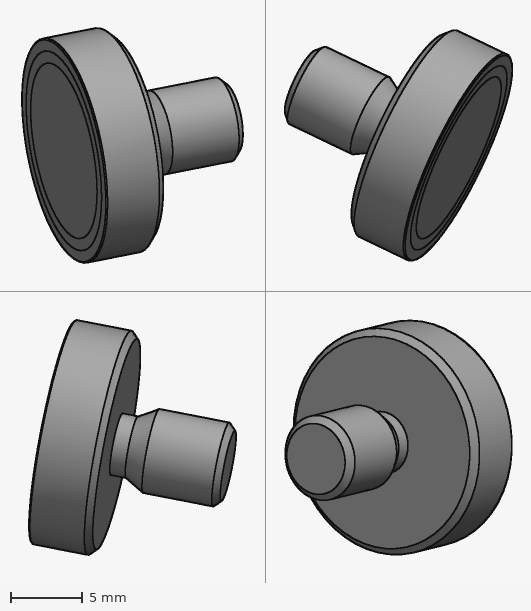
import cadquery as cq
import math


head_diameter = 16.0
head_length = 4.5
front_chamfer = 0.1
rear_chamfer = 0.5

stud_diameter = 6.0
stud_length = 8.0
stud_full_length = 5.5
tip_chamfer = 0.5
neck_diameter = 4.4
taper_angle = 30.0

magnet_diameter = 12.5
recess_diameter = 14.2
recess_depth = 3.2

head_radius = head_diameter / 2
stud_radius = stud_diameter / 2
neck_radius = neck_diameter / 2
tip_y = head_length + stud_length
taper_end_y = tip_y - stud_full_length
taper_length = (stud_radius - neck_radius) / math.tan(math.radians(taper_angle))
taper_start_y = taper_end_y - taper_length


def front_disc(diameter, depth):
    """Disc from the front face to the given depth along +Y."""
    return cq.Workplane("XZ").circle(diameter / 2).extrude(-depth)


def make_housing():
    """Turned head and stud in one piece, with a round recess in the front face."""
    profile = [
        (0, 0),
        (head_radius - front_chamfer, 0),
        (head_radius, front_chamfer),
        (head_radius, head_length - rear_chamfer),
        (head_radius - rear_chamfer, head_length),
        (neck_radius, head_length),
        (neck_radius, taper_start_y),
        (stud_radius, taper_end_y),
        (stud_radius, tip_y - tip_chamfer),
        (stud_radius - tip_chamfer, tip_y),
        (0, tip_y),
    ]
    turned = cq.Workplane("XY").polyline(profile).close().revolve(360, (0, 0, 0), (0, 1, 0))
    return turned.cut(front_disc(recess_diameter, recess_depth))


def make_spacer_ring():
    """Ring filling the recess between the housing wall and the magnet."""
    return front_disc(recess_diameter, recess_depth).cut(front_disc(magnet_diameter, recess_depth))


def make_magnet():
    """Plain disc in the middle of the recess."""
    return front_disc(magnet_diameter, recess_depth)


housing = make_housing()
spacer_ring = make_spacer_ring()
magnet = make_magnet()

result = cq.Compound.makeCompound([housing.val(), spacer_ring.val(), magnet.val()])